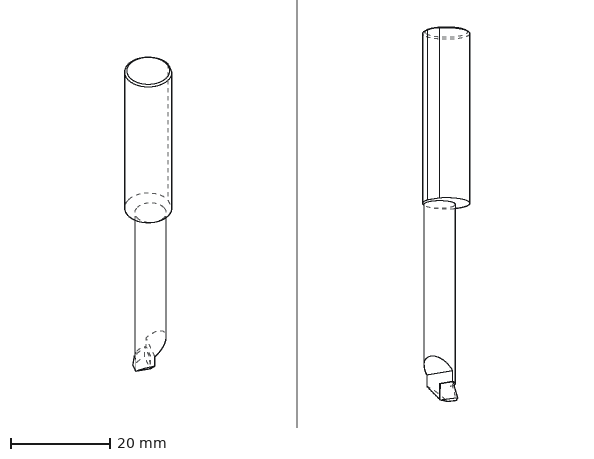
import cadquery as cq
import math

total_length = 76.2
shank_radius = 4.76
shank_length = 35.5
flat_depth = 0.2
chamfer_width = 0.45
chamfer_height = 0.3

neck_diameter = 6.3
neck_radius = neck_diameter / 2
neck_x = shank_radius - neck_radius
neck_top = total_length - shank_length

runout_top = 8.6
runout_bottom = 5.8

head_height = 3.6
tip_x = -2.8
rake_depth = 0.27
flank_lean = 1.15
flank_relief = 2.35
back_chamfer_height = 3.4
end_relief_angle = 6.0
end_side_angle = 2.0

margin = 0.75


def make_shank():
    shank = cq.Workplane("XY", origin=(0, 0, neck_top)).circle(shank_radius).extrude(shank_length)
    shank = shank.faces(">Z").edges().chamfer(chamfer_height, chamfer_width)
    flat = (
        cq.Workplane("XY", origin=(0, shank_radius - flat_depth, neck_top))
        .rect(2 * shank_radius, 2 * flat_depth)
        .extrude(shank_length)
        .translate((0, flat_depth, 0))
    )
    return shank.cut(flat)


def make_neck():
    neck = cq.Workplane("XY", origin=(neck_x, 0, 0)).circle(neck_radius).extrude(neck_top)
    head_space = (
        cq.Workplane("XY", origin=(neck_x - neck_radius, 0, 0))
        .rect(2 * neck_radius, 2 * neck_radius + margin)
        .extrude(head_height)
    )
    return neck.cut(head_space)


def head_section(height, flank_x):
    outline = [
        (flank_x, 0),
        (flank_x + flank_relief, -neck_radius),
        (neck_x, -neck_radius),
        (neck_x, 0),
    ]
    points = [cq.Vector(x, y, height) for x, y in outline]
    return cq.Wire.makePolygon(points, close=True)


def make_head():
    lower = head_section(0, tip_x)
    upper = head_section(head_height, tip_x + flank_lean)
    return cq.Workplane(cq.Solid.makeLoft([lower, upper], True))


def rake_cut():
    slope = (runout_top - runout_bottom) / neck_radius
    outer_y = neck_radius + margin
    outline = [
        (0, -margin),
        (0, runout_bottom),
        (outer_y, runout_bottom + slope * outer_y),
        (outer_y, -margin),
    ]
    return cq.Workplane("YZ").polyline(outline).close().extrude(2 * shank_radius, both=True)


def rake_hollow():
    outline = [(0, 0), (-rake_depth, head_height), (margin, head_height), (margin, 0)]
    wedge_width = neck_x - tip_x + margin
    return (
        cq.Workplane("YZ", origin=(neck_x - wedge_width, 0, 0))
        .polyline(outline)
        .close()
        .extrude(wedge_width)
    )


def back_chamfer_cut():
    outer_x = shank_radius + margin
    bevel_top = back_chamfer_height + margin
    outline = [
        (outer_x - bevel_top - margin, -margin),
        (outer_x, bevel_top),
        (outer_x, -margin),
    ]
    return cq.Workplane("XZ").polyline(outline).close().extrude(2 * neck_radius, both=True)


def end_relief_cut():
    rise_x = math.tan(math.radians(end_side_angle))
    rise_y = math.tan(math.radians(end_relief_angle))
    end_plane = cq.Plane(origin=(tip_x, 0, 0), xDir=(1, 0, rise_x), normal=(rise_x, -rise_y, -1))
    cutter_side = 4 * shank_radius
    return cq.Workplane(end_plane).rect(cutter_side, cutter_side).extrude(shank_radius)


body = make_shank().union(make_neck()).union(make_head())
result = body.cut(rake_cut()).cut(rake_hollow()).cut(back_chamfer_cut()).cut(end_relief_cut())